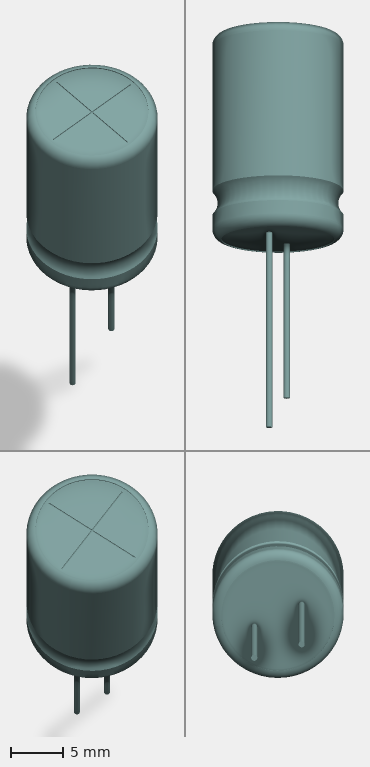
import cadquery as cq
import math

OVERALL_HEIGHT = 39.0
LONG_LEAD_LENGTH = 19.0
SHORT_LEAD_LENGTH = 14.97
LEAD_DIAMETER = 0.6
LEAD_PITCH = 5.0

BODY_DIAMETER = 12.5
BODY_RADIUS = BODY_DIAMETER / 2
CORNER_RADIUS = 1.0
SLEEVE_THICKNESS = 0.1
LIP_RADIUS = 5.4
LIP_HEIGHT = OVERALL_HEIGHT - LONG_LEAD_LENGTH

LIP_OFFSET = LIP_RADIUS - (BODY_RADIUS - CORNER_RADIUS)
CROWN_HEIGHT = LIP_HEIGHT + CORNER_RADIUS - math.sqrt(CORNER_RADIUS**2 - LIP_OFFSET**2)

GROOVE_CENTER_HEIGHT = 3.55
GROOVE_HALF_HEIGHT = 1.2
GROOVE_DEPTH = 0.5
GROOVE_ARC_RADIUS = (GROOVE_HALF_HEIGHT**2 + GROOVE_DEPTH**2) / (2 * GROOVE_DEPTH)
GROOVE_AXIS_RADIUS = BODY_RADIUS - GROOVE_DEPTH + GROOVE_ARC_RADIUS

STRIPE_HALF_ANGLE = math.radians(15)
MARK_WIDTH = 1.55
MARK_HEIGHT = 2.8
MARK_CENTER_HEIGHTS = [8.35, 15.75]

VENT_SLOT_LENGTH = 10.02
VENT_SLOT_WIDTH = 0.1
VENT_SLOT_DEPTH = 0.1


def rounded_body(inset):
    """Grooved, round-cornered body of revolution, set in evenly from the outer skin."""
    radius = BODY_RADIUS - inset
    bottom = inset
    top = CROWN_HEIGHT - inset
    corner = CORNER_RADIUS - inset
    flat_radius = radius - corner
    corner_mid = corner * (1 - math.sqrt(0.5))
    groove_arc = GROOVE_ARC_RADIUS + inset
    groove_half = math.sqrt(groove_arc**2 - (GROOVE_AXIS_RADIUS - radius) ** 2)
    groove_floor = GROOVE_AXIS_RADIUS - groove_arc
    return (
        cq.Workplane("YZ")
        .moveTo(0, bottom)
        .lineTo(flat_radius, bottom)
        .threePointArc((radius - corner_mid, bottom + corner_mid), (radius, bottom + corner))
        .lineTo(radius, GROOVE_CENTER_HEIGHT - groove_half)
        .threePointArc((groove_floor, GROOVE_CENTER_HEIGHT), (radius, GROOVE_CENTER_HEIGHT + groove_half))
        .lineTo(radius, top - corner)
        .threePointArc((radius - corner_mid, top - corner_mid), (flat_radius, top))
        .lineTo(0, top)
        .close()
        .revolve(360, (0, 0, 0), (0, 1, 0))
    )


def skin():
    """Whole shell around the can, open inside the lip at both ends."""
    opening = cq.Workplane("XY").circle(LIP_RADIUS).extrude(CROWN_HEIGHT)
    return rounded_body(0).cut(rounded_body(SLEEVE_THICKNESS)).cut(opening)


def stripe_sector():
    """Wedge from the axis toward +Y that parts the stripe from the sleeve."""
    reach = 2 * BODY_RADIUS
    half_width = reach * math.tan(STRIPE_HALF_ANGLE)
    return (
        cq.Workplane("XY")
        .polyline([(0, 0), (half_width, reach), (-half_width, reach)])
        .close()
        .extrude(CROWN_HEIGHT)
    )


def mark_block(center_height):
    """Block on the +Y side that bounds one minus mark."""
    return (
        cq.Workplane("XY")
        .box(MARK_WIDTH, BODY_RADIUS, MARK_HEIGHT)
        .translate((0, BODY_RADIUS, center_height))
    )


def make_sleeve():
    return skin().cut(stripe_sector())


def make_stripe():
    stripe = skin().intersect(stripe_sector())
    for center_height in MARK_CENTER_HEIGHTS:
        stripe = stripe.cut(mark_block(center_height))
    return stripe


def make_minus_mark(center_height):
    return skin().intersect(mark_block(center_height))


def make_can():
    slots = (
        cq.Workplane("XY")
        .workplane(offset=CROWN_HEIGHT - SLEEVE_THICKNESS)
        .rect(VENT_SLOT_LENGTH, VENT_SLOT_WIDTH)
        .extrude(-VENT_SLOT_DEPTH)
    )
    slots = slots.union(slots.rotate((0, 0, 0), (0, 0, 1), 90))
    return rounded_body(SLEEVE_THICKNESS).cut(slots)


def make_lead(y, length):
    """Lead hanging from the bottom of the can to the given depth below the seating plane."""
    return (
        cq.Workplane("XY", origin=(0, y, SLEEVE_THICKNESS))
        .circle(LEAD_DIAMETER / 2)
        .extrude(-SLEEVE_THICKNESS - length)
    )


can = make_can()
sleeve = make_sleeve()
stripe = make_stripe()

minus_marks = [make_minus_mark(height) for height in MARK_CENTER_HEIGHTS]

lead_layout = [(-LEAD_PITCH / 2, LONG_LEAD_LENGTH), (LEAD_PITCH / 2, SHORT_LEAD_LENGTH)]
leads = [make_lead(y, length) for y, length in lead_layout]

result = cq.Compound.makeCompound(
    [can.val(), sleeve.val(), stripe.val()]
    + [mark.val() for mark in minus_marks]
    + [lead.val() for lead in leads]
)